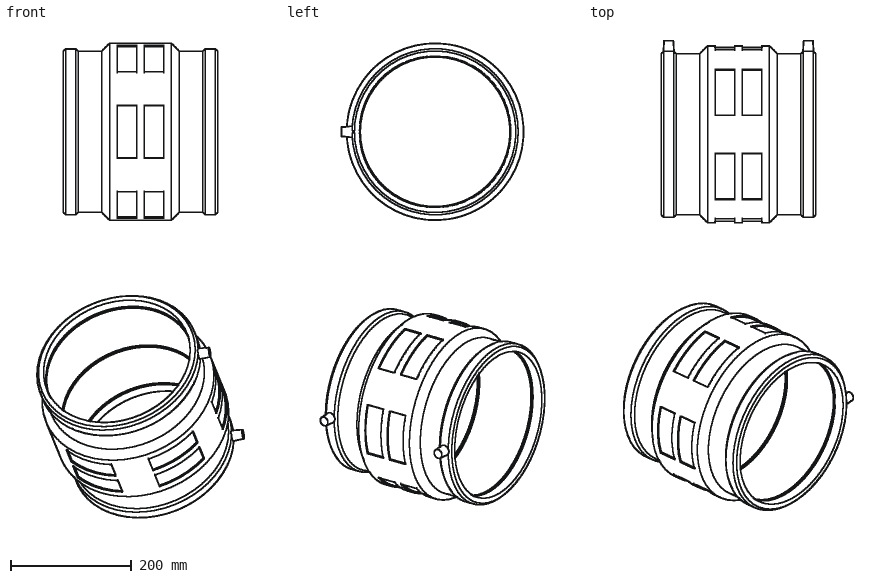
import cadquery as cq
import math

length = 256.0
half_length = length / 2
body_radius = 293.0 / 2
neck_radius = 267.0 / 2
body_half_length = 51.3
shoulder = body_radius - neck_radius

collar_radius = 137.5
collar_width = 25.0
collar_chamfer_length = 4.5
collar_chamfer_depth = collar_radius - neck_radius

bore_radius = 250.0 / 2
ridge_radius = 247.5 / 2
ridge_width = 4.0
groove_radius = bore_radius + 1.2
groove_depth = 18.7
groove_width = 3.3

recess_count = 6
recess_span = 35.0
recess_depth = 2.5
recess_inner_x = 6.3
recess_length = 32.3

terminal_top = 301.5 - body_radius
terminal_top_radius = 7.8
terminal_base_radius = 9.0
terminal_root = bore_radius


def ring(radius, inner_radius, start_x, ring_length):
    """Plain ring around the X axis."""
    return (
        cq.Workplane("YZ", origin=(start_x, 0, 0))
        .circle(radius)
        .circle(inner_radius)
        .extrude(ring_length)
    )


def make_sleeve():
    collar_start = half_length - collar_width
    groove_end = half_length - groove_depth
    groove_start = groove_end - groove_width
    inner_half = [
        (ridge_width / 2, ridge_radius),
        (ridge_width / 2, bore_radius),
        (groove_start, bore_radius),
        (groove_start, groove_radius),
        (groove_end, groove_radius),
        (groove_end, bore_radius),
        (half_length, bore_radius),
    ]
    outer_half = [
        (half_length, collar_radius - collar_chamfer_depth),
        (half_length - collar_chamfer_length, collar_radius),
        (collar_start + collar_chamfer_length, collar_radius),
        (collar_start, neck_radius),
        (body_half_length + shoulder, neck_radius),
        (body_half_length, body_radius),
    ]
    half_profile = inner_half + outer_half
    mirrored_half = [(-x, radius) for x, radius in reversed(half_profile)]
    profile = cq.Workplane("XY").polyline(half_profile + mirrored_half).close()
    return profile.revolve(360, (0, 0, 0), (1, 0, 0))


def make_recesses():
    """Ring sectors with radial end walls, the first centred on +Y."""
    reach = 2 * body_radius
    half_angle = math.radians(recess_span / 2)
    side = reach * math.tan(half_angle)
    wedge = (
        cq.Workplane("YZ", origin=(-half_length, 0, 0))
        .polyline([(0, 0), (reach, -side), (reach, side)])
        .close()
        .extrude(length)
    )
    floor_radius = body_radius - recess_depth
    outer_radius = body_radius + recess_depth
    rows = ring(outer_radius, floor_radius, recess_inner_x, recess_length)
    rows = rows.union(rows.mirror("YZ"))
    sector = rows.intersect(wedge)
    recesses = cq.Workplane("XY")
    for index in range(recess_count):
        angle = index * 360 / recess_count
        recesses = recesses.add(sector.rotate((0, 0, 0), (1, 0, 0), angle))
    return recesses.combine()


def make_terminal(x):
    taper = (terminal_base_radius - terminal_top_radius) / (terminal_top - collar_radius)
    root_radius = terminal_base_radius + taper * (collar_radius - terminal_root)
    cone = cq.Solid.makeCone(
        root_radius,
        terminal_top_radius,
        terminal_top - terminal_root,
        cq.Vector(x, terminal_root, 0),
        cq.Vector(0, 1, 0),
    )
    return cq.Workplane(cone)


result = make_sleeve().cut(make_recesses())
terminal_x = half_length - collar_width / 2
for x in (-terminal_x, terminal_x):
    result = result.union(make_terminal(x))